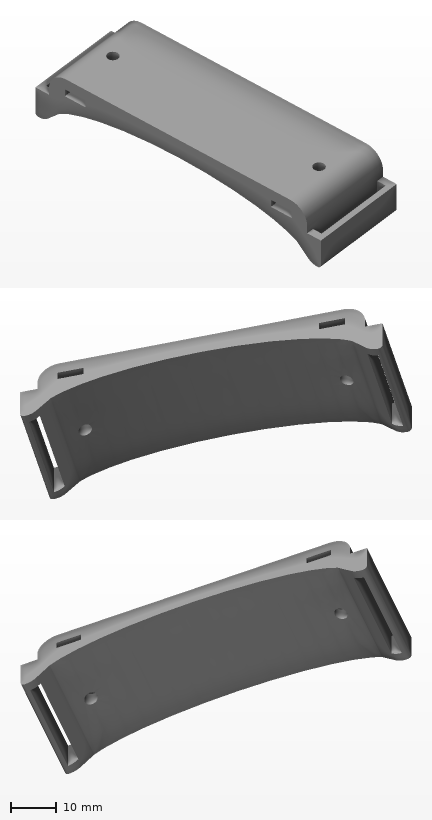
import cadquery as cq
import math

length = 83.0
width = 26.0
height = 15.0
half_length = length / 2

half_body = 37.5
shoulder_radius = 5.0
ledge_drop = 7.0
ledge_z = height - ledge_drop

arch_half_span = half_body
arch_rise = 9.55
arch_top_z = 10.0
arch_end_x = 34.5

foot_outer_radius = 1.0
foot_inner_radius = 4.0
foot_flank_angle = math.radians(42)

strap_wall = 1.5
strap_opening_width = 22.0

fixing_x = 30.0
screw_diameter = 3.0
slot_length = 6.0
slot_height = 2.0
slot_drop = 3.0


def arch_z(x):
    """Height of the elliptical underside at a given X."""
    return arch_top_z - arch_rise * (1 - math.sqrt(1 - (x / arch_half_span) ** 2))


def make_half_body():
    """Build the +X half by extruding its side profile across the width."""
    foot_center_x = half_length - foot_outer_radius

    def foot_point(angle):
        return (
            foot_center_x - foot_inner_radius * math.sin(angle),
            foot_inner_radius * (1 - math.cos(angle)),
        )

    corner_offset = foot_outer_radius * (1 - math.sqrt(0.5))
    shoulder_offset = shoulder_radius * (1 - math.sqrt(0.5))
    profile = (
        cq.Workplane("XZ", origin=(0, width / 2, 0))
        .moveTo(0, arch_top_z)
        .parametricCurve(lambda t: (arch_end_x * t, arch_z(arch_end_x * t)), makeWire=False)
        .lineTo(*foot_point(foot_flank_angle))
        .threePointArc(foot_point(foot_flank_angle / 2), (foot_center_x, 0))
        .threePointArc((half_length - corner_offset, corner_offset), (half_length, foot_outer_radius))
        .lineTo(half_length, ledge_z)
        .lineTo(half_body, ledge_z)
        .lineTo(half_body, height - shoulder_radius)
        .threePointArc(
            (half_body - shoulder_offset, height - shoulder_offset),
            (half_body - shoulder_radius, height),
        )
        .lineTo(0, height)
        .close()
    )
    return profile.extrude(width)


def make_strap_opening():
    """Cutter for the vertical opening between the body and the end wall."""
    depth = half_length - strap_wall - half_body
    return (
        cq.Workplane("XY")
        .center(half_body + depth / 2, 0)
        .rect(depth, strap_opening_width)
        .extrude(height)
    )


def make_screw_hole():
    """Cutter for the vertical through hole."""
    return cq.Workplane("XY").center(fixing_x, 0).circle(screw_diameter / 2).extrude(height)


def make_cross_slot():
    """Cutter for the rectangular slot that runs across the full width."""
    slot_z = height - slot_drop - slot_height / 2
    return cq.Workplane("XY").box(slot_length, width, slot_height).translate((fixing_x, 0, slot_z))


half = make_half_body().cut(make_strap_opening()).cut(make_screw_hole()).cut(make_cross_slot())
result = half.union(half.mirror("YZ")).clean()